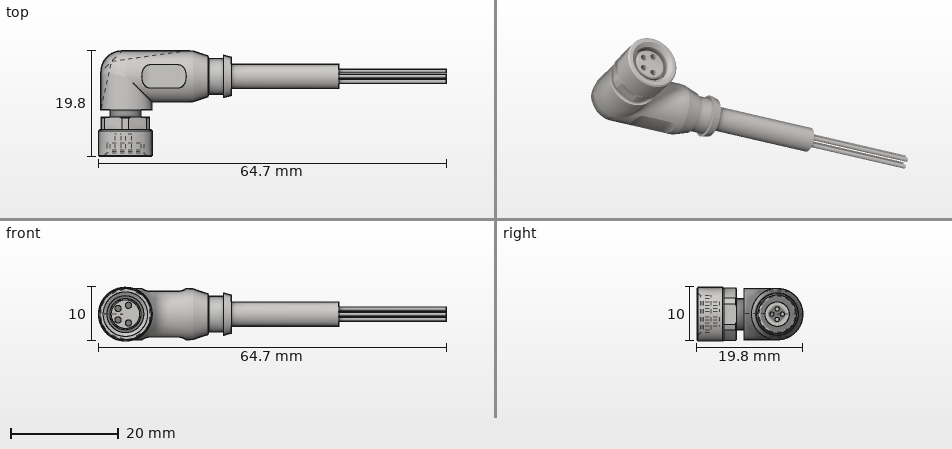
import cadquery as cq
import math


housing_radius = 4.8
elbow_blend_radius = 4.0
plug_leg_end = 6.2
cable_leg_end = 11.45

taper_shoulder_x = 12.4
taper_shoulder_radius = 4.7
taper_end_x = 15.15
collar_start_x = 15.35
taper_end_radius = 3.8
collar_radius = 3.35
barb_x = 18.05
barb_radius = 3.95
collar_end_x = 19.55
collar_end_radius = 3.55
jacket_radius = 2.25
jacket_length = 20.0
jacket_end_x = collar_end_x + jacket_length

grip_height = 4.3
grip_floor_start = 4.4
grip_floor_end = 9.6
grip_ramp_radius = 2.6

nut_axis_x = -0.2
nut_diameter = 10.0
nut_radius = nut_diameter / 2
nut_start = 9.9
nut_front = 14.95
nut_chamfer = 0.25
hex_start = 7.6
hex_across_flats = 9.05
hex_corner_radius = 4.9
hex_chamfer = 0.2
bore_radius = 3.4
countersink_radius = 4.15
countersink_depth = 0.7
bore_depth = 2.6

carrier_radius = 2.9
carrier_recess = 1.0
carrier_face = nut_front - carrier_recess
carrier_chamfer = 0.25
socket_radius = 0.6
socket_depth = 3.25
socket_circle_radius = 1.75
socket_angles = (71, 142, -142, -71)

overall_length = 64.7
wire_radius = 0.4
wire_offset = 1.0
wire_count = 4
wire_end_x = nut_axis_x - nut_radius + overall_length


def plug_section(distance):
    """Workplane on the nut axis, facing -Y, at a distance from the cable axis."""
    return cq.Workplane("XZ", origin=(nut_axis_x, -distance, 0))


def cable_section(x):
    """Workplane on the cable axis, facing +X."""
    return cq.Workplane("YZ", origin=(x, 0, 0))


def make_grip_recess():
    """Cutter above the cable leg: a flat floor that curves up at both ends."""
    return (
        cq.Workplane("XZ", origin=(0, housing_radius, 0))
        .moveTo(grip_floor_start, grip_height)
        .lineTo(grip_floor_end, grip_height)
        .radiusArc((grip_floor_end + grip_ramp_radius, grip_height + grip_ramp_radius), -grip_ramp_radius)
        .lineTo(grip_floor_start - grip_ramp_radius, grip_height + grip_ramp_radius)
        .radiusArc((grip_floor_start, grip_height), -grip_ramp_radius)
        .close()
        .extrude(2 * housing_radius)
    )


def make_leg(start, direction, length):
    """Plain cylinder of the housing whose seam lies underneath, clear of the rounded elbow."""
    section = cq.Plane(origin=start, xDir=(0, 0, -1), normal=direction)
    return cq.Workplane(section).circle(housing_radius).extrude(length)


def make_elbow():
    """Two mitred legs with grip recesses, and with the outer half of the mitre edge rounded."""
    reach = 2 * max(plug_leg_end, cable_leg_end)
    cable_leg = make_leg((-housing_radius, 0, 0), (1, 0, 0), cable_leg_end + housing_radius)
    plug_leg = make_leg((0, housing_radius, 0), (0, -1, 0), plug_leg_end + housing_radius)
    recess = make_grip_recess()
    cable_leg = cable_leg.cut(recess).cut(recess.mirror("XY"))
    cable_side = (
        cq.Workplane("XY", origin=(0, 0, -reach / 2))
        .polyline([(-reach, reach), (reach, reach), (reach, -reach)])
        .close()
        .extrude(reach)
    )
    mitred = cable_leg.intersect(cable_side).union(plug_leg.cut(cable_side))
    outer_half = (
        cq.Workplane("XY", origin=(0, 0, -reach / 2))
        .polyline([(-reach, -reach), (reach, reach), (-reach, reach)])
        .close()
        .extrude(reach)
    )
    corner = mitred.intersect(outer_half)
    mitre_point = (-housing_radius, housing_radius, 0)
    corner = corner.edges(cq.selectors.NearestToPointSelector(mitre_point)).fillet(elbow_blend_radius)
    return mitred.cut(outer_half).union(corner)


def make_cable_end():
    """Taper, barbed collar and cable jacket, revolved about the cable axis."""
    return (
        cq.Workplane("XY")
        .moveTo(0, 0)
        .lineTo(0, jacket_radius)
        .lineTo(cable_leg_end, jacket_radius)
        .lineTo(cable_leg_end, housing_radius)
        .lineTo(taper_shoulder_x, taper_shoulder_radius)
        .lineTo(taper_end_x, taper_end_radius)
        .lineTo(collar_start_x, collar_radius)
        .lineTo(barb_x, collar_radius)
        .lineTo(barb_x, barb_radius)
        .lineTo(collar_end_x, collar_end_radius)
        .lineTo(collar_end_x, jacket_radius)
        .lineTo(jacket_end_x, jacket_radius)
        .lineTo(jacket_end_x, 0)
        .close()
        .revolve(360, (0, 0, 0), (1, 0, 0))
    )


def make_nut():
    """Round front with a hexagonal rear whose corners are turned off, and a countersunk bore."""
    front = plug_section(nut_start).circle(nut_radius).extrude(nut_front - nut_start)
    front = front.edges("%CIRCLE").chamfer(nut_chamfer)
    hex_length = nut_start - hex_start
    hex_diameter = hex_across_flats / math.cos(math.pi / 6)
    rear = (
        plug_section(hex_start)
        .transformed(rotate=(0, 0, 90))
        .polygon(6, hex_diameter)
        .extrude(hex_length)
    )
    turned = plug_section(hex_start).circle(hex_corner_radius).extrude(hex_length)
    turned = turned.faces(">Y").chamfer(hex_chamfer)
    bore = plug_section(nut_front - bore_depth).circle(bore_radius).extrude(bore_depth)
    countersink = (
        plug_section(nut_front)
        .circle(countersink_radius)
        .workplane(offset=-countersink_depth)
        .circle(bore_radius)
        .loft()
    )
    return front.union(rear.intersect(turned)).cut(bore).cut(countersink)


def make_carrier():
    """Cylinder that runs from the plug leg through the nut to the recessed contact face."""
    carrier = plug_section(plug_leg_end).circle(carrier_radius).extrude(carrier_face - plug_leg_end)
    return carrier.faces("<Y").chamfer(carrier_chamfer)


def make_sockets():
    """Cutters for the blind contact sockets in the face of the carrier."""
    angles = [math.radians(angle) for angle in socket_angles]
    centres = [
        (socket_circle_radius * math.cos(angle), socket_circle_radius * math.sin(angle))
        for angle in angles
    ]
    return (
        plug_section(carrier_face - socket_depth)
        .pushPoints(centres)
        .circle(socket_radius)
        .extrude(socket_depth)
    )


def make_connector():
    """The moulded connector and its cable jacket as one solid."""
    housing = make_elbow().union(make_cable_end())
    plug = make_nut().union(make_carrier()).cut(make_sockets())
    return housing.union(plug)


def make_wire(index):
    """One wire that starts at the end of the jacket."""
    angle = 2 * math.pi * index / wire_count
    return (
        cable_section(jacket_end_x)
        .center(wire_offset * math.cos(angle), wire_offset * math.sin(angle))
        .circle(wire_radius)
        .extrude(wire_end_x - jacket_end_x)
    )


connector = make_connector()
wires = [make_wire(index) for index in range(wire_count)]
result = cq.Compound.makeCompound([connector.val(), *[wire.val() for wire in wires]])